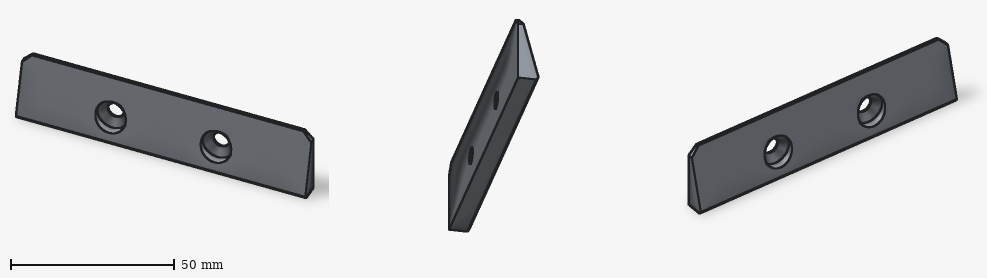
import cadquery as cq

length = 97.0
depth = 6.4
height = 22.0

top_thickness = 1.0
front_edge_height = 1.0
bottom_bevel_run = 0.7

corner_chamfer = 3.0

hole_diameter = 5.2
head_diameter = 10.2
hole_spacing = 35.3
hole_height = 9.0
cone_start = 0.4
cone_depth = (head_diameter - hole_diameter) / 2
cone_end = cone_start + cone_depth


def wedge_bar():
    """Bar tapering towards the top, with a bevel along its lower front edge."""
    profile = [
        (0, 0),
        (0, height),
        (-top_thickness, height),
        (-depth, front_edge_height),
        (-depth + bottom_bevel_run, 0),
    ]
    return cq.Workplane("YZ").polyline(profile).close().extrude(length)


def corner_cutter(end_x, inward):
    """Triangular prism that removes one top corner of the bar."""
    return (
        cq.Workplane("XZ")
        .moveTo(end_x, height)
        .lineTo(end_x + inward * corner_chamfer, height)
        .lineTo(end_x, height - corner_chamfer)
        .close()
        .extrude(depth)
    )


def screw_hole_cutter(center_x):
    """Through hole, conical seat and straight head recess as one revolved body."""
    hole_radius = hole_diameter / 2
    head_radius = head_diameter / 2
    return (
        cq.Workplane("XY")
        .polyline([
            (0, 0),
            (hole_radius, 0),
            (hole_radius, -cone_start),
            (head_radius, -cone_end),
            (head_radius, -depth),
            (0, -depth),
        ])
        .close()
        .revolve(360, (0, 0, 0), (0, 1, 0))
        .translate((center_x, 0, hole_height))
    )


result = wedge_bar()

for end_x, inward in ((0, 1), (length, -1)):
    result = result.cut(corner_cutter(end_x, inward))

for side in (-1, 1):
    result = result.cut(screw_hole_cutter(length / 2 + side * hole_spacing / 2))